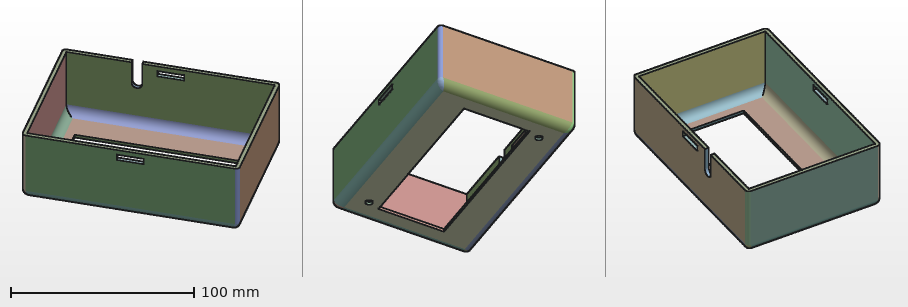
import cadquery as cq

length = 123.0
width = 85.0
height = 42.0
wall = 2.5
floor_thickness = 2.0
corner_radius = 2.2
base_radius = 5.0
inner_radius = 5.0

window_length = 97.7
window_width = 40.7

hole_diameter = 4.0
hole_x = 46.4
hole_y = 27.5

slot_length = 15.3
slot_height = 3.5
slot_top_gap = 3.2

notch_width = 6.0
notch_depth = 16.6
notch_x = -19.1


def make_block(block_length, block_width, bottom):
    """Centred block reaching from the given level up to the rim."""
    return (
        cq.Workplane("XY", origin=(0, 0, bottom))
        .rect(block_length, block_width)
        .extrude(height - bottom)
    )


def make_shell():
    """Rounded box with a cavity whose floor edges are filleted."""
    outer = make_block(length, width, 0)
    outer = outer.edges("|Z").fillet(corner_radius)
    outer = outer.faces("<Z").edges().fillet(base_radius)
    cavity = make_block(length - 2 * wall, width - 2 * wall, floor_thickness)
    cavity = cavity.faces("<Z").edges().fillet(inner_radius)
    return outer.cut(cavity)


def make_floor_openings():
    """Display window and the two screw holes."""
    window = cq.Workplane("XY").rect(window_length, window_width).extrude(floor_thickness)
    holes = (
        cq.Workplane("XY")
        .pushPoints([(hole_x, hole_y), (-hole_x, -hole_y)])
        .circle(hole_diameter / 2)
        .extrude(floor_thickness)
    )
    return window.union(holes)


def make_latch_slots():
    """One bar across the full width cuts both long walls."""
    slot_z = height - slot_top_gap - slot_height / 2
    return cq.Workplane("XY").box(slot_length, width, slot_height).translate((0, 0, slot_z))


def make_cable_notch():
    """U-shaped cutter through the back wall, open at the rim."""
    radius = notch_width / 2
    bottom = height - notch_depth
    return (
        cq.Workplane("XZ", origin=(notch_x, width / 2, 0))
        .moveTo(-radius, height)
        .lineTo(-radius, bottom + radius)
        .threePointArc((0, bottom), (radius, bottom + radius))
        .lineTo(radius, height)
        .close()
        .extrude(wall)
    )


result = (
    make_shell()
    .cut(make_floor_openings())
    .cut(make_latch_slots())
    .cut(make_cable_notch())
)